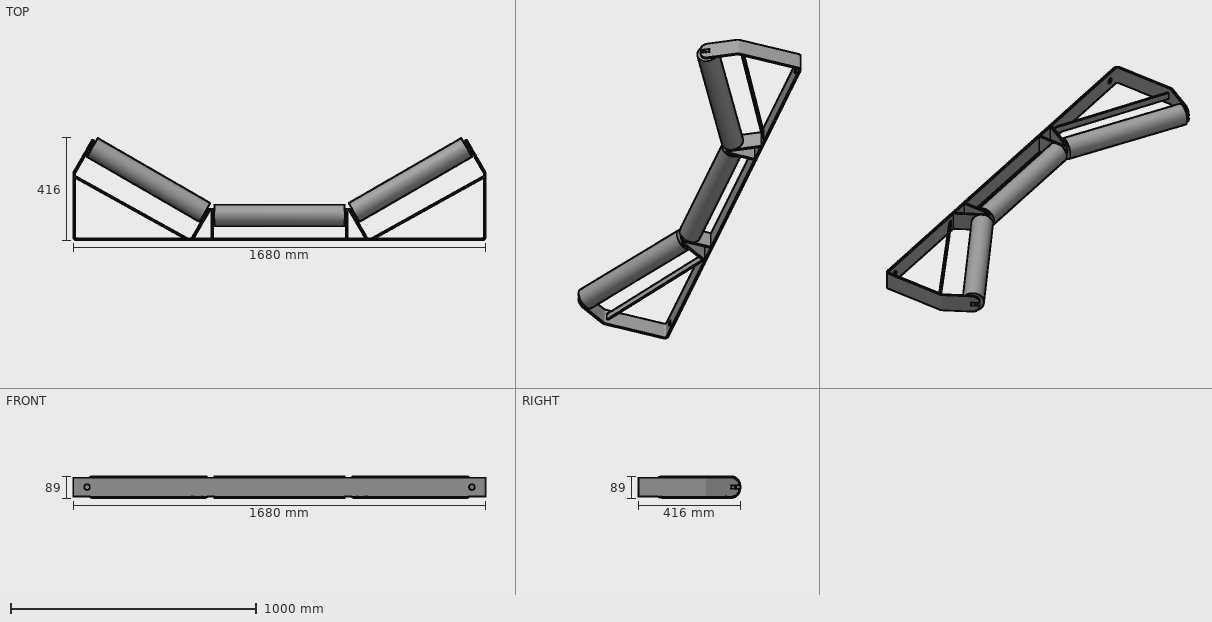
import cadquery as cq
import math


bar_width = 77.0
bar_thickness = 8.0

frame_length = 1680.0
arm_bend_height = 274.0
arm_tip_height = 410.0
trough_angle = 30.0
base_bend_radius = 15.0
arm_bend_radius = 20.0
tip_radius = 30.0
hole_diameter = 24.0
hole_spacing = 1565.0

roller_diameter = 89.0
roller_length = 530.0
hub_diameter = 37.0
centre_roller_height = 100.0
side_roller_x = 533.0
side_roller_height = 245.0

shaft_diameter = 18.0
shaft_flat = 15.0

bracket_leg_x = 269.0
bracket_foot_x = 358.0
bracket_height = 128.0

brace_width = 30.0
brace_thickness = 7.0
brace_foot_x = 375.0
brace_top = 262.0

half_length = frame_length / 2
wall_x = half_length - bar_thickness
trough = math.radians(trough_angle)
slot_depth = 2 * bar_thickness
arm_run = (arm_tip_height - arm_bend_height) * math.tan(trough)
tip_x = half_length - arm_run


def along_side_axis(x, y):
    """Distance of a point from the middle of the left side roller, toward the inner end."""
    return (x + side_roller_x) * math.cos(trough) - (y - side_roller_height) * math.sin(trough)


def above_side_axis(x, y):
    """Distance of a point from the left side roller's axis, toward the open side."""
    return (x + side_roller_x) * math.sin(trough) + (y - side_roller_height) * math.cos(trough)


arm_reach = -along_side_axis(-half_length, arm_bend_height) - bar_thickness
foot_reach = along_side_axis(-bracket_foot_x, bar_thickness)
leg_reach = bracket_leg_x


def on_side_axis(body):
    """Move a body built along the X axis onto the left side roller's axis."""
    return body.rotate((0, 0, 0), (0, 0, 1), -trough_angle).translate((-side_roller_x, side_roller_height, 0))


def on_centre_axis(body):
    """Move a body built along the X axis onto the centre roller's axis."""
    return body.translate((0, centre_roller_height, 0))


def mirrored(body):
    return body.mirror("YZ")


def slab(outline, width):
    """Plate with the given XY outline, centred on Z = 0."""
    return cq.Workplane("XY").workplane(offset=-width / 2).polyline(outline).close().extrude(width)


def bent_bar(path):
    """Bar of constant thickness to the left of an open path, with mitred bends."""
    headings = [math.atan2(y1 - y0, x1 - x0) for (x0, y0), (x1, y1) in zip(path, path[1:])]
    before = headings[:1] + headings
    after = headings + headings[-1:]
    offset_path = []
    for (x, y), heading_in, heading_out in zip(path, before, after):
        mitre = (heading_in + heading_out) / 2
        reach = bar_thickness / math.cos((heading_out - heading_in) / 2)
        offset_path.append((x - reach * math.sin(mitre), y + reach * math.cos(mitre)))
    return slab(path + offset_path[::-1], bar_width)


def round_bend(bar, outer_corner, inner_corner, outer_radius):
    """Round a mitred bend with concentric outer and inner radii."""
    for (x, y), radius in ((outer_corner, outer_radius), (inner_corner, outer_radius - bar_thickness)):
        corner = cq.selectors.NearestToPointSelector((x, y, 0))
        bar = bar.edges("|Z").edges(corner).fillet(radius)
    return bar


def make_slot(reach):
    """Cutter for an open slot that starts at a plate's roller-side face and holds a shaft end."""
    return cq.Workplane("XY").box(slot_depth, roller_diameter, shaft_flat).translate(
        (reach + slot_depth / 2, roller_diameter / 2 - shaft_diameter / 2, 0)
    )


def make_tip_cutter():
    """Cutter that rounds the two corners of the left arm's tip."""
    cutter_length = 4 * bar_thickness
    tip_level = above_side_axis(-tip_x, arm_tip_height)
    block = cq.Workplane("XY").box(cutter_length, 2 * tip_radius, 2 * bar_width)
    rounded = cq.Workplane("XY").box(cutter_length, 4 * tip_radius, bar_width).edges("|X").fillet(tip_radius)
    corners = block.translate((0, tip_radius, 0)).cut(rounded)
    return on_side_axis(corners.translate((-arm_reach - bar_thickness / 2, tip_level - 2 * tip_radius, 0)))


def make_frame():
    """Base, end walls and tilted arms, all bent from one bar."""
    body = bent_bar([
        (-tip_x, arm_tip_height),
        (-half_length, arm_bend_height),
        (-half_length, 0),
        (half_length, 0),
        (half_length, arm_bend_height),
        (tip_x, arm_tip_height),
    ])
    inner_bend_height = arm_bend_height - bar_thickness * math.tan(trough / 2)
    for side in (-1, 1):
        body = round_bend(body, (side * half_length, 0), (side * wall_x, bar_thickness), base_bend_radius)
        body = round_bend(
            body, (side * half_length, arm_bend_height), (side * wall_x, inner_bend_height), arm_bend_radius
        )
    for cutter in (make_tip_cutter(), on_side_axis(mirrored(make_slot(arm_reach)))):
        body = body.cut(cutter).cut(mirrored(cutter))
    holes = (
        cq.Workplane("XZ")
        .pushPoints([(-hole_spacing / 2, 0), (hole_spacing / 2, 0)])
        .circle(hole_diameter / 2)
        .extrude(-bar_thickness)
    )
    return body.cut(holes)


def make_bracket():
    """Left inner bracket: an upright leg and a leg parallel to the arm, standing on the base."""
    lean_top = bracket_height * math.tan(trough)
    lean_base = bar_thickness * math.tan(trough)
    body = bent_bar([
        (-bracket_leg_x, 0),
        (-bracket_leg_x, bracket_height),
        (-bracket_foot_x - lean_base + lean_top, bracket_height),
        (-bracket_foot_x - lean_base, 0),
    ])
    above_base = cq.Workplane("XY").box(frame_length, bracket_height, bar_width).translate(
        (0, bar_thickness + bracket_height / 2, 0)
    )
    side_slot = on_side_axis(make_slot(foot_reach))
    centre_slot = on_centre_axis(mirrored(make_slot(leg_reach)))
    return body.intersect(above_base).cut(side_slot).cut(centre_slot)


def make_brace():
    """Left brace: a narrow strip from the end wall down to the base, cut flush at both."""
    pitch = math.atan2(brace_top - bar_thickness, wall_x - brace_foot_x)
    outline = [
        (-wall_x, brace_top),
        (-wall_x, brace_top - brace_thickness / math.cos(pitch)),
        (-brace_foot_x - brace_thickness / math.sin(pitch), bar_thickness),
        (-brace_foot_x, bar_thickness),
    ]
    return slab(outline, brace_width)


def make_roller(left_reach, right_reach):
    """Roller along the X axis, its hubs meeting plates at the given distances from its middle."""

    def cylinder(diameter, left, right):
        return cq.Workplane("YZ").workplane(offset=-left).circle(diameter / 2).extrude(left + right)

    drum = cylinder(roller_diameter, roller_length / 2, roller_length / 2)
    hubs = cylinder(hub_diameter, left_reach, right_reach)
    shaft = cylinder(shaft_diameter, left_reach + bar_thickness, right_reach + bar_thickness)
    flats = cq.Workplane("XY").box(2 * roller_length, shaft_diameter, shaft_flat)
    return drum.union(hubs).union(shaft.intersect(flats))


frame = make_frame()
bracket = make_bracket()
brace = make_brace()
centre_roller = on_centre_axis(make_roller(leg_reach, leg_reach))
side_roller = on_side_axis(make_roller(arm_reach, foot_reach))

bodies = [frame, centre_roller]
for left_body in (bracket, brace, side_roller):
    bodies += [left_body, mirrored(left_body)]

result = cq.Compound.makeCompound([solid for body in bodies for solid in body.solids().vals()])